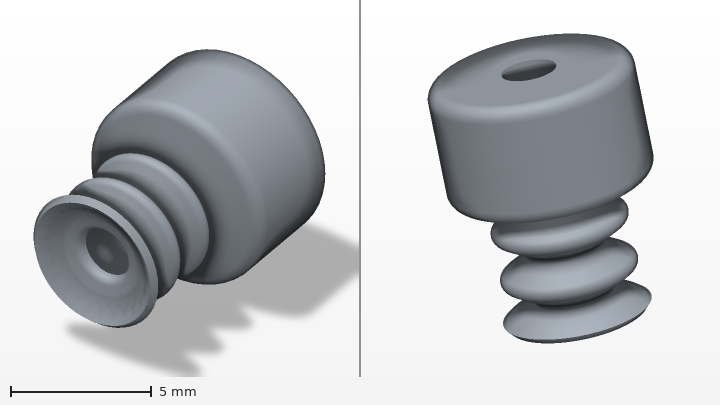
import cadquery as cq
import math

total_length = 9.5
wall = 0.3

head_radius = 3.75
head_rounding = 0.5
head_shoulder_y = 5.1
head_root_radius = 1.26
head_root_y = 4.56

crest_ys = (1.805, 3.61)
root_y = sum(crest_ys) / len(crest_ys)
crest_corner_radius = 2.76
root_corner_radius = 1.34
crest_rounding = wall
outer_root_rounding = 0.1
inner_root_rounding = 0.27

neck_radius = 1.42
neck_start_y = 0.83
lip_radius = 2.7
lip_edge_y = 0.23
dome_bow = 0.1
rim_radius = 2.5
funnel_bow = 0.11

bore_radius = 1.0
funnel_top_radius = 1.23
funnel_top_y = 0.64
throat_start_y = 0.94

cone_slope = (crest_corner_radius - root_corner_radius) / (root_y - crest_ys[0])
inward_shift = wall * math.hypot(1, cone_slope)
inner_crest_radius = crest_corner_radius - inward_shift
inner_root_radius = root_corner_radius - inward_shift


def rounded_corner(path, before, corner, after, rounding):
    """Draw a line up to a corner and an arc around it, tangent to both of its sides."""
    to_before = (cq.Vector(*before) - cq.Vector(*corner)).normalized()
    to_after = (cq.Vector(*after) - cq.Vector(*corner)).normalized()
    half_angle = to_before.getAngle(to_after) / 2
    setback = rounding / math.tan(half_angle)
    middle_distance = rounding / math.sin(half_angle) - rounding
    apex = cq.Vector(*corner)
    start = apex + to_before * setback
    middle = apex + (to_before + to_after).normalized() * middle_distance
    end = apex + to_after * setback
    return path.lineTo(start.x, start.y).threePointArc((middle.x, middle.y), (end.x, end.y))


def outer_side(path):
    """From the lip edge along the dome, the bellows and the head to the flat end."""
    path = path.sagittaArc((neck_radius, neck_start_y), -dome_bow)
    neck_end_y = crest_ys[0] - (crest_corner_radius - neck_radius) / cone_slope
    corners = [
        (neck_radius, neck_end_y, outer_root_rounding),
        (crest_corner_radius, crest_ys[0], crest_rounding),
        (root_corner_radius, root_y, outer_root_rounding),
        (crest_corner_radius, crest_ys[1], crest_rounding),
        (head_root_radius, head_root_y, outer_root_rounding),
        (head_radius, head_shoulder_y, head_rounding),
        (head_radius, total_length, head_rounding),
    ]
    points = [(neck_radius, neck_start_y)]
    points += [(radius, y) for radius, y, _ in corners]
    points += [(bore_radius, total_length)]
    for i, (radius, y, rounding) in enumerate(corners):
        path = rounded_corner(path, points[i], (radius, y), points[i + 2], rounding)
    return path.lineTo(bore_radius, total_length)


def inner_side(path):
    """From the flat end down the bore, the hollow bellows and the throat to the lip's inner rim."""
    cone_length = (inner_crest_radius - bore_radius) / cone_slope
    first_crest = (inner_crest_radius, crest_ys[0])
    second_crest = (inner_crest_radius, crest_ys[1])
    path = path.lineTo(bore_radius, crest_ys[1] + cone_length).lineTo(*second_crest)
    path = rounded_corner(
        path, second_crest, (inner_root_radius, root_y), first_crest, inner_root_rounding
    )
    path = path.lineTo(*first_crest).lineTo(bore_radius, crest_ys[0] - cone_length)

    path = path.lineTo(bore_radius, throat_start_y)
    path = path.tangentArcPoint((funnel_top_radius, funnel_top_y), relative=False)
    return path.sagittaArc((rim_radius, 0), funnel_bow)


profile = cq.Workplane("XY").moveTo(lip_radius, lip_edge_y)
profile = outer_side(profile)
profile = inner_side(profile)
result = profile.close().revolve(360, (0, 0, 0), (0, 1, 0))